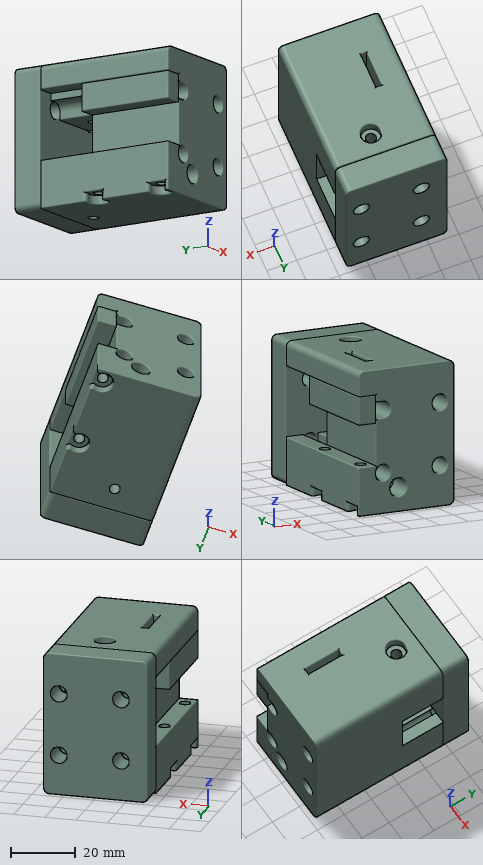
import cadquery as cq
import math

WIDTH = 33.7
LENGTH = 56.5
HEIGHT = 46.0
CORNER_RADIUS = 2.0
EDGE_RADIUS = 0.4
SLACK = 0.005

PLATE_THICKNESS = 9.5
HOUSING_LENGTH = LENGTH - PLATE_THICKNESS

WINDOW_LENGTH = 15.1
WINDOW_HEIGHT = 15.05
WALL_END = HOUSING_LENGTH - WINDOW_LENGTH
WINDOW_BOTTOM = (HEIGHT - WINDOW_HEIGHT) / 2
WINDOW_TOP = WINDOW_BOTTOM + WINDOW_HEIGHT

ALL_X = (0, WIDTH)
ALL_Z = (0, HEIGHT)
HOUSING_Y = (0, HOUSING_LENGTH)
WINDOW_Y = (WALL_END, HOUSING_LENGTH)
PLATE_Y = (HOUSING_LENGTH, LENGTH)

CHANNEL_DEPTH = 6.05
CHANNEL_TOP = 37.95

BAR_HEIGHT = 9.0

HOLE_DIAMETER = 5.3
HOLE_SPACING = 20.0
LEFT_HOLE_X = 8.65
LOW_HOLE_Z = (HEIGHT - HOLE_SPACING) / 2
HIGH_HOLE_Z = LOW_HOLE_Z + HOLE_SPACING
HOLE_PLACES = [
    (x, z) for x in (LEFT_HOLE_X, LEFT_HOLE_X + HOLE_SPACING) for z in (LOW_HOLE_Z, HIGH_HOLE_Z)
]

BLIND_X = 14.0
BLIND_Z = 7.75
BLIND_DIAMETER = 6.0
BLIND_DEPTH = 10.0
BLIND_BOTTOM_DIAMETER = 4.0

SCREW_DIAMETER = 3.4
HEAD_DIAMETER = 6.5
HEAD_DEPTH = 3.0
TOP_SCREW_X = LEFT_HOLE_X + HOLE_SPACING / 2
TOP_SCREW_Y = WALL_END + WINDOW_LENGTH / 2
SIDE_SCREW_X = 3.0
SIDE_SCREW_YS = (4.45, 27.4)
MOUTH_RADIUS = 1.0

TOP_SLOT_WIDTH = 2.0
TOP_SLOT_LENGTH = 12.5
TOP_SLOT_X = 10.0
TOP_SLOT_Y = 18.3


def box(x, y, z):
    """Box between the (low, high) limits along each axis."""
    size = [high - low for low, high in (x, y, z)]
    return cq.Workplane("XY").box(*size, centered=False).translate((x[0], y[0], z[0]))


def edges_within(x, y, z):
    """Selector for the edges lying wholly inside the given limits."""
    low = [limits[0] - SLACK for limits in (x, y, z)]
    high = [limits[1] + SLACK for limits in (x, y, z)]
    return cq.selectors.BoxSelector(low, high, boundingbox=True)


def rim_section(half_width):
    """Half section of an opening with a rounded rim, its mouth on the X axis and its depth along -Z."""
    bulge = EDGE_RADIUS * (1 - math.sqrt(0.5))
    return (
        cq.Workplane("XZ")
        .lineTo(half_width + EDGE_RADIUS, 0)
        .threePointArc((half_width + bulge, -bulge), (half_width, -EDGE_RADIUS))
        .lineTo(0, -EDGE_RADIUS)
        .close()
    )


def round_rim(diameter, mouth):
    """Cutter for the rounded rim of a round hole; the mouth plane faces out of the material."""
    rim = rim_section(diameter / 2).revolve(360, (0, 0, 0), (0, 1, 0))
    return cq.Workplane(rim.val().located(cq.Location(mouth)))


def slot_rim(width, length, mouth):
    """Cutter for the rounded long sides of a slot that runs along the mouth plane's Y."""
    half = rim_section(width / 2).extrude(-length)
    rim = half.union(half.mirror("YZ"))
    return cq.Workplane(rim.val().located(cq.Location(mouth)))


def long_hole(x, z, y):
    """Cutter along Y for one long hole, with a rounded rim at its -Y end."""
    drill = cq.Workplane("XZ", origin=(x, y[0], z)).circle(HOLE_DIAMETER / 2).extrude(y[0] - y[1])
    mouth = cq.Plane(origin=(x, y[0], z), xDir=(1, 0, 0), normal=(0, -1, 0))
    return drill.union(round_rim(HOLE_DIAMETER, mouth))


def housing_block():
    """Block with three rounded long edges, the side channel and the window."""
    block = box(ALL_X, HOUSING_Y, ALL_Z).edges("|Y and (not (<X and <Z))").fillet(CORNER_RADIUS)
    channel = box((0, CHANNEL_DEPTH), HOUSING_Y, (WINDOW_BOTTOM, CHANNEL_TOP))
    window = box(ALL_X, WINDOW_Y, (WINDOW_BOTTOM, WINDOW_TOP))
    return block.cut(channel).cut(window)


def screw_pocket(y):
    """Round screw-head recess in the bottom that opens to the -X side through a flared mouth."""
    radius = HEAD_DIAMETER / 2
    flare_x = MOUTH_RADIUS
    flare_y = math.sqrt((radius + MOUTH_RADIUS) ** 2 - (SIDE_SCREW_X - flare_x) ** 2)
    share = radius / (radius + MOUTH_RADIUS)
    touch_x = SIDE_SCREW_X + (flare_x - SIDE_SCREW_X) * share
    touch_y = flare_y * share
    half_turn = (math.pi / 2 + math.atan2(SIDE_SCREW_X - flare_x, flare_y)) / 2
    middle_x = flare_x - MOUTH_RADIUS * math.cos(half_turn)
    middle_y = flare_y - MOUTH_RADIUS * math.sin(half_turn)
    return (
        cq.Workplane("XY", origin=(0, y, 0))
        .moveTo(0, flare_y)
        .threePointArc((middle_x, middle_y), (touch_x, touch_y))
        .threePointArc((SIDE_SCREW_X + radius, 0), (touch_x, -touch_y))
        .threePointArc((middle_x, -middle_y), (0, -flare_y))
        .close()
        .extrude(HEAD_DEPTH)
    )


def round_housing_edges(body):
    """Rounds the outer edges of the housing, its channel and its screw pockets."""
    left = (0, 0)
    right = (WIDTH, WIDTH)
    back = (HOUSING_LENGTH, HOUSING_LENGTH)
    places = [
        (ALL_X, (0, 0), ALL_Z),
        (ALL_X, back, (CHANNEL_TOP + EDGE_RADIUS, HEIGHT)),
        (ALL_X, back, (0, CORNER_RADIUS)),
        (left, back, ALL_Z),
        (right, back, ALL_Z),
        (left, HOUSING_Y, (WINDOW_BOTTOM, WINDOW_BOTTOM)),
        (left, HOUSING_Y, (CHANNEL_TOP, CHANNEL_TOP)),
        ((CHANNEL_DEPTH, CHANNEL_DEPTH), (WALL_END, WALL_END), ALL_Z),
        ((0, WIDTH / 2), HOUSING_Y, (0, 0)),
        (left, HOUSING_Y, (HEAD_DEPTH, HEAD_DEPTH)),
    ]
    edges = set()
    for limits in places:
        edges.update(body.edges(edges_within(*limits)).vals())
    return body.newObject(list(edges)).fillet(EDGE_RADIUS)


def cut_long_holes(body):
    """Four long holes; the left pair opens to the window, its upper one also to the channel."""
    for x, z in HOLE_PLACES:
        body = body.cut(long_hole(x, z, HOUSING_Y))
    radius = HOLE_DIAMETER / 2
    hole_left = LEFT_HOLE_X - radius
    hole_right = LEFT_HOLE_X + radius

    side_slot = box((CHANNEL_DEPTH, LEFT_HOLE_X), HOUSING_Y, (HIGH_HOLE_Z - radius, HIGH_HOLE_Z + radius))
    slot_mouth = cq.Plane(origin=(LEFT_HOLE_X, 0, HIGH_HOLE_Z), xDir=(0, 0, 1), normal=(0, -1, 0))
    body = body.cut(side_slot)
    body = body.cut(slot_rim(HOLE_DIAMETER, LEFT_HOLE_X - CHANNEL_DEPTH, slot_mouth))

    body = body.cut(box((hole_left, hole_right), WINDOW_Y, (LOW_HOLE_Z, HIGH_HOLE_Z)))
    for z in (WINDOW_BOTTOM, WINDOW_TOP):
        slot_edge = edges_within((hole_right, hole_right), WINDOW_Y, (z, z))
        body = body.edges(slot_edge).fillet(EDGE_RADIUS)
    return body


def cut_blind_hole(body):
    """Blind hole in the front face with a sloped bottom corner."""
    mouth = cq.Plane(origin=(BLIND_X, 0, BLIND_Z), xDir=(1, 0, 0), normal=(0, -1, 0))
    drill = cq.Workplane(mouth).circle(BLIND_DIAMETER / 2).extrude(-BLIND_DEPTH)
    slope = (BLIND_DIAMETER - BLIND_BOTTOM_DIAMETER) / 2
    drill = drill.faces(">Y").edges().chamfer(slope)
    return body.cut(drill).cut(round_rim(BLIND_DIAMETER, mouth))


def cut_screw_holes(body):
    """Counterbored hole from the top, and the two holes above the bottom pockets."""
    top = cq.Workplane("XY", origin=(TOP_SCREW_X, TOP_SCREW_Y, HEIGHT))
    body = body.cut(top.circle(SCREW_DIAMETER / 2).extrude(-HEIGHT))
    body = body.cut(top.circle(HEAD_DIAMETER / 2).extrude(-HEAD_DEPTH))
    body = body.cut(round_rim(HEAD_DIAMETER, top.plane))
    for y in SIDE_SCREW_YS:
        side = cq.Workplane("XY", origin=(SIDE_SCREW_X, y, 0))
        body = body.cut(side.circle(SCREW_DIAMETER / 2).extrude(WINDOW_BOTTOM))
    return body


def cut_top_slot(body):
    """Rectangular slot from the top face down to the middle of the upper left hole."""
    slot = (
        cq.Workplane("XY", origin=(TOP_SLOT_X, TOP_SLOT_Y, HIGH_HOLE_Z))
        .rect(TOP_SLOT_WIDTH, TOP_SLOT_LENGTH)
        .extrude(HEIGHT - HIGH_HOLE_Z)
    )
    half_length = TOP_SLOT_LENGTH / 2
    rim = edges_within(
        (TOP_SLOT_X - TOP_SLOT_WIDTH, TOP_SLOT_X + TOP_SLOT_WIDTH),
        (TOP_SLOT_Y - half_length, TOP_SLOT_Y + half_length),
        (HEIGHT, HEIGHT),
    )
    return body.cut(slot).edges(rim).fillet(EDGE_RADIUS)


def make_housing():
    body = housing_block()
    for y in SIDE_SCREW_YS:
        body = body.cut(screw_pocket(y))
    body = round_housing_edges(body)
    body = cut_top_slot(body)
    body = cut_long_holes(body)
    body = cut_blind_hole(body)
    return cut_screw_holes(body)


def make_plate():
    """End plate with rounded corners and outlines, carrying the four long holes on."""
    plate = box(ALL_X, PLATE_Y, ALL_Z).edges("|Y").fillet(CORNER_RADIUS)
    plate = plate.faces("<Y or >Y").edges().fillet(EDGE_RADIUS)
    for x, z in HOLE_PLACES:
        plate = plate.cut(long_hole(x, z, PLATE_Y))
    return plate


def make_bar():
    """Bar with all edges rounded, filling the channel depth just below its ceiling."""
    bar = box((0, CHANNEL_DEPTH), (0, WALL_END), (CHANNEL_TOP - BAR_HEIGHT, CHANNEL_TOP))
    return bar.edges().fillet(EDGE_RADIUS)


housing = make_housing()
plate = make_plate()
bar = make_bar()

result = cq.Compound.makeCompound([housing.solids().val(), plate.solids().val(), bar.solids().val()])